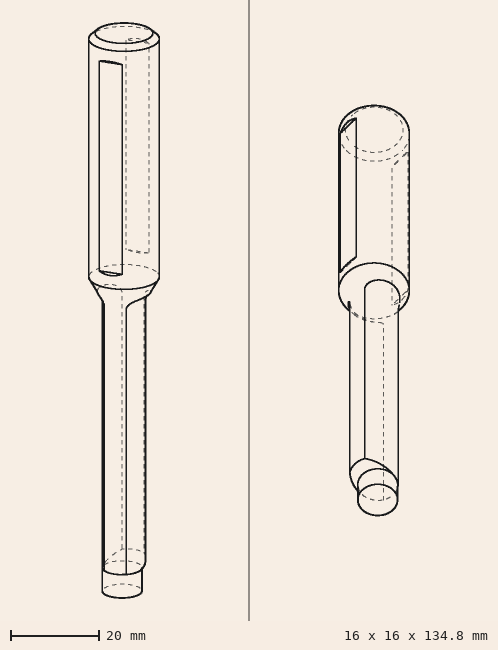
import cadquery as cq
import math

total_length = 134.8
handle_diameter = 16.0
handle_radius = handle_diameter / 2
handle_bottom = 75.8
top_chamfer_radial = 1.5
top_chamfer_height = 1.3

flat_half_width = 2.8
flat_bottom = 79.4
flat_top = 130.2

shank_diameter = 11.2
shank_radius = shank_diameter / 2
blend_bottom = 69.8
blend_top = 72.9
blend_radius = 6.2

side_half_width = 4.7
side_edge_x = 2.7
side_blend_radius = 3.0
side_blend_height = 2.8

tip_diameter = 9.0
tip_radius = tip_diameter / 2
tip_length = 5.7
tip_offset = shank_radius - tip_radius

cut_margin = 2.7
cut_radius = handle_radius + cut_margin


def arc_offset(radius, height):
    """Radial distance of a concave blend from its tangent start at a given height."""
    return radius - math.sqrt(radius**2 - height**2)


def make_body():
    """Turned handle, neck and shank."""
    blend_height = blend_top - blend_bottom
    mid_height = blend_height / 2
    blend_mid = (shank_radius + arc_offset(blend_radius, mid_height), blend_bottom + mid_height)
    blend_end = (shank_radius + arc_offset(blend_radius, blend_height), blend_top)
    return (
        cq.Workplane("XZ")
        .lineTo(shank_radius, 0)
        .lineTo(shank_radius, blend_bottom)
        .threePointArc(blend_mid, blend_end)
        .lineTo(handle_radius, handle_bottom)
        .lineTo(handle_radius, total_length - top_chamfer_height)
        .lineTo(handle_radius - top_chamfer_radial, total_length)
        .lineTo(0, total_length)
        .close()
        .revolve(360, (0, 0, 0), (0, 1, 0))
    )


def make_flat_cutter(side):
    """Prism that mills one handle flat; side is +1 for +Y and -1 for -Y."""
    flat_distance = math.sqrt(handle_radius**2 - flat_half_width**2)
    depth = cut_radius - flat_distance
    return (
        cq.Workplane("YZ")
        .polyline([
            (side * flat_distance, flat_bottom),
            (side * cut_radius, flat_bottom - depth),
            (side * cut_radius, flat_top + depth),
            (side * flat_distance, flat_top),
        ])
        .close()
        .extrude(handle_radius, both=True)
    )


def make_side_cutter(side):
    """Material outside one convex side face; side is +1 for +X and -1 for -X."""
    edge_y = math.sqrt(shank_radius**2 - side_edge_x**2)
    sagitta = side_half_width - side_edge_x
    face_radius = (sagitta**2 + edge_y**2) / (2 * sagitta)
    axis_x = side_half_width - face_radius
    mid_height = side_blend_height / 2
    top = blend_bottom + side_blend_height
    blend_mid = (face_radius + arc_offset(side_blend_radius, mid_height), blend_bottom + mid_height)
    blend_end = (face_radius + arc_offset(side_blend_radius, side_blend_height), top)
    kept = (
        cq.Workplane("XZ")
        .lineTo(face_radius, 0)
        .lineTo(face_radius, blend_bottom)
        .threePointArc(blend_mid, blend_end)
        .lineTo(0, top)
        .close()
        .revolve(360, (0, 0, 0), (0, 1, 0))
        .translate((side * axis_x, 0, 0))
    )
    half_space = cq.Workplane("XY").center(side * cut_radius / 2, 0).rect(cut_radius, 2 * cut_radius)
    return half_space.extrude(top).cut(kept)


def make_tip_cutter():
    """Ring around the eccentric tip, ending in a 45 degree conical shoulder."""
    shoulder_height = cut_radius - tip_radius
    return (
        cq.Workplane("XZ")
        .moveTo(tip_radius, 0)
        .lineTo(cut_radius, 0)
        .lineTo(cut_radius, tip_length + shoulder_height)
        .lineTo(tip_radius, tip_length)
        .close()
        .revolve(360, (0, 0, 0), (0, 1, 0))
        .translate((0, -tip_offset, 0))
    )


def make_tip():
    """Round tip, which reaches slightly past the narrowed shank sides."""
    return cq.Workplane("XY").center(0, -tip_offset).circle(tip_radius).extrude(tip_length)


result = make_body()
for direction in (-1, 1):
    result = result.cut(make_flat_cutter(direction))
    result = result.cut(make_side_cutter(direction))
result = result.cut(make_tip_cutter()).union(make_tip())